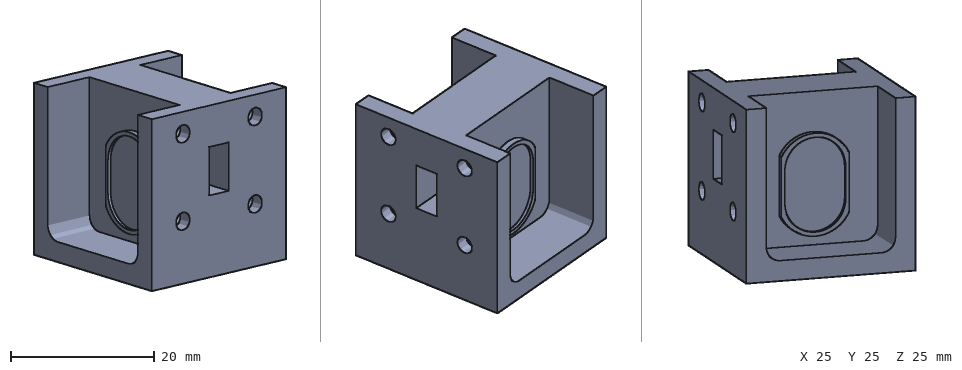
import cadquery as cq
import math

SIDE = 25.0
HALF = SIDE / 2
WALL = 2.95
WEB_THICKNESS = 9.48
POCKET_CORNER_RADIUS = 2.1

PAD_CENTER_Z = 11.8
PAD_WIDTH = 10.0
PAD_HEIGHT = 14.8
PAD_END_RADIUS = 5.6
PAD_RISE = 1.0

RECESS_WIDTH = 9.0
RECESS_HEIGHT = 13.6
RECESS_DEPTH = 0.5

CHANNEL_CENTER_Z = 15.45
CHANNEL_WIDTH = 3.6
CHANNEL_HEIGHT = 7.05
HOLE_DIAMETER = 2.55
HOLE_SPACING_Y = 13.45
HOLE_SPACING_Z = 12.7
HOLE_DEPTH = 2.0
DRILL_POINT_ANGLE = 118.0

WEB_FACE = WEB_THICKNESS / 2
PAD_FACE = WEB_FACE + PAD_RISE


def side_pocket():
    """Pocket from the -Y side down to the web, open at the top, rounded at the floor."""
    width = SIDE - 2 * WALL
    height = SIDE - WALL
    depth = HALF - WEB_FACE
    block = cq.Workplane("XY").box(width, depth, height, centered=(True, False, False))
    block = block.edges("|Y and <Z").fillet(POCKET_CORNER_RADIUS)
    return block.translate((0, -HALF, WALL))


def pad():
    """Pad on the -Y web face: straight sides closed by shallow arcs."""
    half_width = PAD_WIDTH / 2
    half_height = PAD_HEIGHT / 2
    arc_rise = PAD_END_RADIUS - math.sqrt(PAD_END_RADIUS**2 - half_width**2)
    corner = half_height - arc_rise
    return (
        cq.Workplane("XZ", origin=(0, -WEB_FACE, PAD_CENTER_Z))
        .moveTo(-half_width, -corner)
        .threePointArc((0, -half_height), (half_width, -corner))
        .lineTo(half_width, corner)
        .threePointArc((0, half_height), (-half_width, corner))
        .close()
        .extrude(PAD_RISE)
    )


def pad_recess():
    """Round-ended recess cut into the -Y pad."""
    return (
        cq.Workplane("XZ", origin=(0, -PAD_FACE, PAD_CENTER_Z))
        .slot2D(RECESS_HEIGHT, RECESS_WIDTH, angle=90)
        .extrude(-RECESS_DEPTH)
    )


def channel():
    """Rectangular waveguide channel running through the whole body."""
    return cq.Workplane("XY").box(SIDE, CHANNEL_WIDTH, CHANNEL_HEIGHT).translate((0, 0, CHANNEL_CENTER_Z))


def flange_holes():
    """Four blind drilled holes with conical ends, entering from the -X face."""
    radius = HOLE_DIAMETER / 2
    tip = HOLE_DEPTH + radius / math.tan(math.radians(DRILL_POINT_ANGLE / 2))
    drill = (
        cq.Workplane("XY")
        .polyline([(0, 0), (0, radius), (HOLE_DEPTH, radius), (tip, 0)])
        .close()
        .revolve(360, (0, 0, 0), (1, 0, 0))
    )
    holes = cq.Workplane("XY")
    for side_y in (-1, 1):
        for side_z in (-1, 1):
            y = side_y * HOLE_SPACING_Y / 2
            z = CHANNEL_CENTER_Z + side_z * HOLE_SPACING_Z / 2
            holes = holes.add(drill.translate((-HALF, y, z)))
    return holes.combine()


body = cq.Workplane("XY").box(SIDE, SIDE, SIDE, centered=(True, True, False))

body = body.cut(side_pocket()).cut(side_pocket().mirror("XZ"))
body = body.union(pad()).union(pad().mirror("XZ"))
body = body.cut(pad_recess()).cut(pad_recess().mirror("XZ"))

body = body.cut(flange_holes()).cut(flange_holes().mirror("YZ"))

result = body.cut(channel())